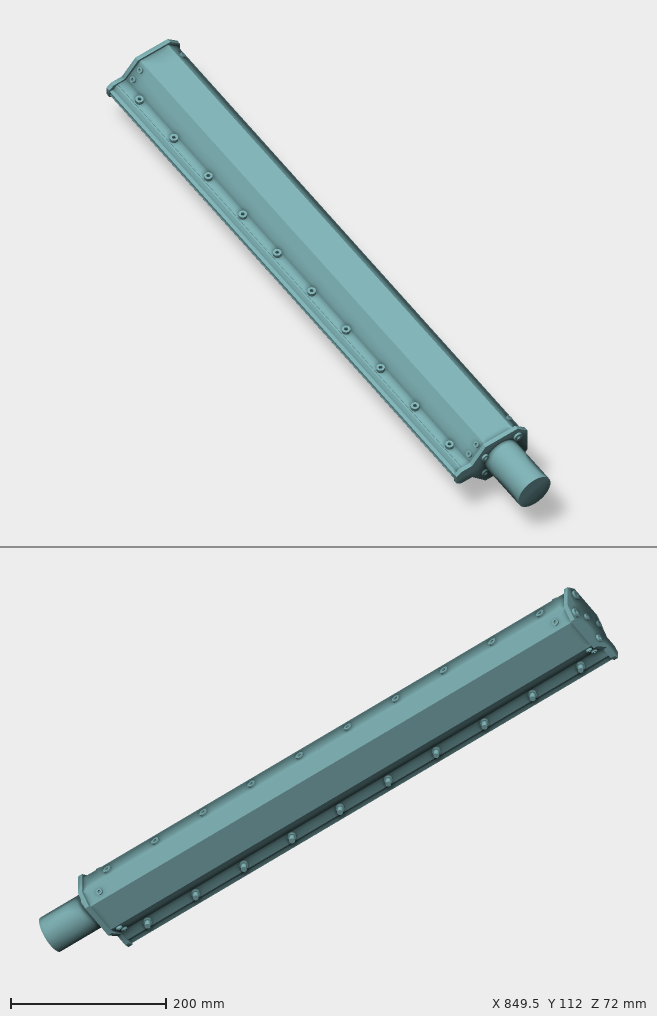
import cadquery as cq
import math

total_length = 849.5
head_height = 3.0
plate_thickness = 6.0
plates_span = 773.0
left_plate_x = head_height
right_plate_x = left_plate_x + plates_span - plate_thickness
body_start = left_plate_x + plate_thickness
body_length = right_plate_x - body_start
middle_x = left_plate_x + plates_span / 2

body_back_y = 37.0
body_top_half = 32.0
body_top_y = 22.0
body_back_half = body_top_half - (body_back_y - body_top_y)
flange_half = 9.0
flange_back_y = -body_top_y - (body_top_half - flange_half)
flange_front_y = -58.0
ledge_half = 8.5
ledge_front_y = -60.0
lip_half = 3.8
lip_back_y = ledge_front_y - (ledge_half - lip_half)
lip_front_y = -70.5
lip_groove_radius = 3.0

plate_back_y = 41.0
plate_top_half = 36.0
plate_top_y = 25.5
plate_back_half = plate_top_half - (plate_back_y - plate_top_y)
neck_half = 12.0
neck_back_y = -47.0
neck_front_y = -64.0
nose_half = 7.0
nose_y = -71.0

motor_diameter = 51.0
motor_y = -1.0

socket_ratio = 0.5
rear_screw_diameter = 13.0
rear_screw_y = 25.0
rear_screw_z = 20.0
front_screw_diameter = 10.0
front_screw_y = -27.0
front_screw_z = 16.0
center_screw_diameter = 9.0
slope_screw_diameter = 8.5
slope_screw_inset = 9.0
slope_screw_spacing = 16.0
chamfer_screw_inset = 20.0

bolt_count = 10
bolt_pitch = 76.0
bolt_y = -51.0
bolt_head_diameter = 11.0
bolt_head_height = 5.0
bolt_shank_diameter = 7.6
bolt_tip_z = -22.0
nut_height = 4.0


def symmetric_bar(upper_outline, start_x, length):
    """Extrude along X the outline made of (Y, Z) points and their mirror below Z = 0."""
    lower_outline = [(y, -z) for y, z in reversed(upper_outline)]
    section = cq.Workplane("YZ", origin=(start_x, 0, 0)).polyline(upper_outline + lower_outline).close()
    return section.extrude(length)


def rod(base, direction, diameter, height):
    axis = cq.Vector(*direction)
    return cq.Workplane(cq.Solid.makeCylinder(diameter / 2, height, cq.Vector(*base), axis))


def screw_head(seat, direction, diameter, height=head_height):
    """Round head standing on its seat, with a hexagonal socket as deep as the head."""
    head_plane = cq.Plane(origin=seat, normal=direction)
    socket_size = diameter * socket_ratio
    return cq.Workplane(head_plane).circle(diameter / 2).polygon(6, socket_size).extrude(height)


body_outline = [
    (body_back_y, body_back_half),
    (body_top_y, body_top_half),
    (-body_top_y, body_top_half),
    (flange_back_y, flange_half),
    (flange_front_y, flange_half),
    (flange_front_y, ledge_half),
    (ledge_front_y, ledge_half),
    (lip_back_y, lip_half),
    (lip_front_y, lip_half),
]
plate_outline = [
    (plate_back_y, plate_back_half),
    (plate_top_y, plate_top_half),
    (-plate_top_y, plate_top_half),
    (neck_back_y, neck_half),
    (neck_front_y, neck_half),
    (nose_y, nose_half),
]

result = symmetric_bar(body_outline, body_start, body_length)

groove_start = (body_start, lip_front_y, 0)
result = result.cut(rod(groove_start, (1, 0, 0), 2 * lip_groove_radius, body_length))

for plate_x in (left_plate_x, right_plate_x):
    result = result.union(symmetric_bar(plate_outline, plate_x, plate_thickness))

motor_start = right_plate_x + plate_thickness
motor_length = total_length - motor_start
result = result.union(rod((motor_start, motor_y, 0), (1, 0, 0), motor_diameter, motor_length))

for face_x, outward in ((left_plate_x, -1), (motor_start, 1)):
    for side in (-1, 1):
        rear_seat = (face_x, rear_screw_y, side * rear_screw_z)
        front_seat = (face_x, front_screw_y, side * front_screw_z)
        result = result.union(screw_head(rear_seat, (outward, 0, 0), rear_screw_diameter))
        result = result.union(screw_head(front_seat, (outward, 0, 0), front_screw_diameter))
result = result.union(screw_head((left_plate_x, 0, 0), (-1, 0, 0), center_screw_diameter))

slope_run = flange_back_y + body_top_y
slope_drop = flange_half - body_top_half
slope_length = math.hypot(slope_run, slope_drop)
slope_mid_y = (flange_back_y - body_top_y) / 2
slope_mid_z = (flange_half + body_top_half) / 2
chamfer_mid_y = (body_back_y + body_top_y) / 2
chamfer_mid_z = (body_back_half + body_top_half) / 2
chamfer_normal_y = body_top_half - body_back_half
chamfer_normal_z = body_back_y - body_top_y
for end in (-1, 1):
    slope_x = middle_x + end * (body_length / 2 - slope_screw_inset)
    chamfer_x = middle_x + end * (body_length / 2 - chamfer_screw_inset)
    for side in (-1, 1):
        for shift in (-slope_screw_spacing / 2, slope_screw_spacing / 2):
            screw_y = slope_mid_y + shift * slope_run / slope_length
            screw_z = slope_mid_z + shift * slope_drop / slope_length
            seat = (slope_x, screw_y, side * screw_z)
            result = result.union(screw_head(seat, (0, slope_drop, -side * slope_run), slope_screw_diameter))
        seat = (chamfer_x, chamfer_mid_y, side * chamfer_mid_z)
        normal = (0, chamfer_normal_y, side * chamfer_normal_z)
        result = result.union(screw_head(seat, normal, slope_screw_diameter))

for index in range(bolt_count):
    bolt_x = middle_x + (index - (bolt_count - 1) / 2) * bolt_pitch
    above = (bolt_x, bolt_y, flange_half)
    result = result.union(screw_head(above, (0, 0, 1), bolt_head_diameter, bolt_head_height))
    below = (bolt_x, bolt_y, -flange_half)
    result = result.union(rod(below, (0, 0, -1), bolt_head_diameter, nut_height))
    result = result.union(rod(below, (0, 0, -1), bolt_shank_diameter, -flange_half - bolt_tip_z))
    result = result.union(screw_head((bolt_x, body_back_y, 0), (0, 1, 0), bolt_head_diameter))